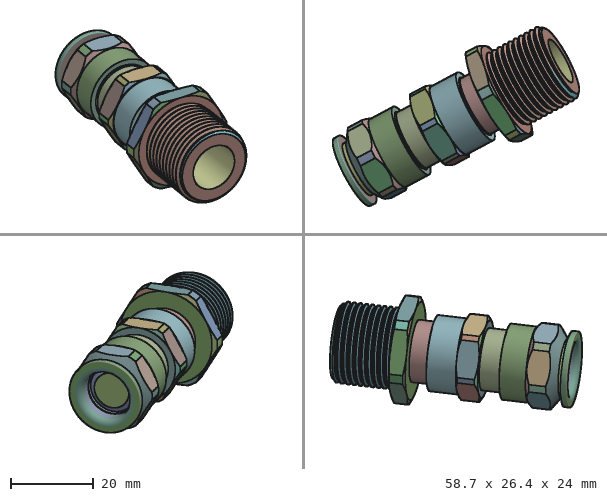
import cadquery as cq
import math


overall_length = 58.65
flange_end = 1.5
cap_start = 2.5
sleeve_end = 4.4
plug_start = 4.45
cap_hex_end = 10.15
cap_end = 16.65
middle_hex_start = 21.95
middle_hex_end = 27.4
middle_end = 34.7
entry_hex_start = 39.3
entry_hex_end = 43.4

barrel_diameter = 18.65
sleeve_diameter = 14.3
sleeve_bore = 12.2
sleeve_mouth = 15.5
ring_bore = 11.95
plug_diameter = 11.75
plug_face_diameter = 9.05
neck_diameter = 15.3
spigot_diameter = 15.85

small_hex_flats = 19.0
cap_hex_corners = 20.8
middle_hex_corners = 21.1
entry_hex_flats = 24.0
entry_hex_corners = 26.4
cap_cone_length = 2.4
cap_rear_chamfer = (cap_hex_corners - barrel_diameter) / 2
middle_hex_chamfer_length = 0.6
entry_hex_chamfer_length = 0.4

flange_rounding = 0.2
plug_chamfer_length = 0.95
cap_spigot_showing = 0.35
middle_spigot_showing = 0.25

thread_diameter = 20.0
thread_root_diameter = 18.35
thread_pitch = 1.5
thread_flank_angle = 30.0
thread_crest_width = thread_pitch / 8
thread_start = 41.2
thread_chamfer = 1.05
root_overlap = 0.1


def turned(outline):
    """Solid of revolution about X from (x, radius) points."""
    return cq.Workplane("XY").polyline(outline).close().revolve(360, (0, 0, 0), (1, 0, 0))


def cylinder(start, end, diameter):
    """Round bar along X."""
    return cq.Workplane("YZ").workplane(offset=start).circle(diameter / 2).extrude(end - start)


def hexagon(start, end, across_flats):
    """Hexagonal bar along X with flats facing +Z and -Z."""
    across_corners = across_flats / math.cos(math.radians(30))
    return cq.Workplane("YZ").workplane(offset=start).polygon(6, across_corners).extrude(end - start)


def chamfered_hexagon(start, end, across_flats, corner_diameter, chamfer_length):
    """Hexagon with turned corners and a chamfer at both ends that starts at the flats."""
    face_radius = across_flats / 2
    corner_radius = corner_diameter / 2
    envelope = turned([
        (start, 0),
        (start, face_radius),
        (start + chamfer_length, corner_radius),
        (end - chamfer_length, corner_radius),
        (end, face_radius),
        (end, 0),
    ])
    return hexagon(start, end, across_flats).intersect(envelope)


def spigot_and_neck(start, nut_end, showing, neck_end):
    """Spigot whose last stretch tapers down to the neck just behind the nut that covers it."""
    return turned([
        (start, 0),
        (start, spigot_diameter / 2),
        (nut_end, spigot_diameter / 2),
        (nut_end + showing, neck_diameter / 2),
        (neck_end, neck_diameter / 2),
        (neck_end, 0),
    ])


def make_sleeve():
    """Flanged sleeve with a rounded mouth."""
    flange = cylinder(0, flange_end, barrel_diameter).edges().fillet(flange_rounding)
    neck = cylinder(flange_end / 2, sleeve_end, sleeve_diameter)
    mouth_radius = (sleeve_mouth - sleeve_bore) / 2
    bore = (
        cq.Workplane("XY")
        .lineTo(0, sleeve_mouth / 2)
        .radiusArc((mouth_radius, sleeve_bore / 2), -mouth_radius)
        .lineTo(sleeve_end, sleeve_bore / 2)
        .lineTo(sleeve_end, 0)
        .close()
        .revolve(360, (0, 0, 0), (1, 0, 0))
    )
    return flange.union(neck).cut(bore)


def make_cap_nut():
    """Cap nut: coned hexagon, round barrel, and a stepped bore."""
    corner_radius = cap_hex_corners / 2
    envelope = turned([
        (cap_start, 0),
        (cap_start, sleeve_diameter / 2),
        (cap_start + cap_cone_length, corner_radius),
        (cap_hex_end - cap_rear_chamfer, corner_radius),
        (cap_hex_end, barrel_diameter / 2),
        (cap_hex_end, 0),
    ])
    hex_part = hexagon(cap_start, cap_hex_end, small_hex_flats).intersect(envelope)
    barrel = cylinder(cap_hex_end, cap_end, barrel_diameter)
    ring_seat = cylinder(cap_start, cap_hex_end, sleeve_diameter)
    spigot_bore = cylinder(cap_hex_end, cap_end, spigot_diameter)
    return hex_part.union(barrel).cut(ring_seat).cut(spigot_bore)


def make_sealing_ring():
    """Ring between the sleeve and the middle body."""
    ring = cylinder(sleeve_end, cap_hex_end, sleeve_diameter)
    return ring.cut(cylinder(sleeve_end, cap_hex_end, ring_bore))


def make_plug():
    """Round plug with a chamfered front, ending level with the cap nut."""
    return turned([
        (plug_start, 0),
        (plug_start, plug_face_diameter / 2),
        (plug_start + plug_chamfer_length, plug_diameter / 2),
        (cap_end, plug_diameter / 2),
        (cap_end, 0),
    ])


def make_middle_body():
    """Middle body: spigot, neck, hexagon and a barrel that takes the entry spigot."""
    front = spigot_and_neck(cap_hex_end, cap_end, cap_spigot_showing, middle_hex_start)
    hex_part = chamfered_hexagon(
        middle_hex_start, middle_hex_end, small_hex_flats, middle_hex_corners, middle_hex_chamfer_length
    )
    barrel = cylinder(middle_hex_end, middle_end, barrel_diameter)
    through_bore = cylinder(cap_hex_end, middle_end, plug_diameter)
    spigot_bore = cylinder(middle_hex_end, middle_end, spigot_diameter)
    return front.union(hex_part).union(barrel).cut(through_bore).cut(spigot_bore)


def make_thread_ridge():
    """Helical ridge, long enough to run out past the free end."""
    core_radius = thread_root_diameter / 2
    crest_radius = thread_diameter / 2
    base_radius = core_radius - root_overlap
    half_crest = thread_crest_width / 2
    half_base = half_crest + (crest_radius - base_radius) * math.tan(math.radians(thread_flank_angle))
    helix = cq.Wire.makeHelix(thread_pitch, overall_length + thread_pitch - thread_start, core_radius)
    ridge = (
        cq.Workplane("XZ")
        .polyline([
            (base_radius, -half_base),
            (crest_radius, -half_crest),
            (crest_radius, half_crest),
            (base_radius, half_base),
        ])
        .close()
        .sweep(helix, isFrenet=True)
    )
    return ridge.rotate((0, 0, 0), (0, 1, 0), 90).translate((thread_start, 0, 0))


def make_entry_body():
    """Entry body: spigot, neck, large hexagon and the male thread."""
    front = spigot_and_neck(middle_hex_end, middle_end, middle_spigot_showing, entry_hex_start)
    hex_part = chamfered_hexagon(
        entry_hex_start, entry_hex_end, entry_hex_flats, entry_hex_corners, entry_hex_chamfer_length
    )
    thread_envelope = cylinder(entry_hex_start, overall_length, thread_diameter + 2 * root_overlap)
    thread_envelope = thread_envelope.faces(">X").chamfer(thread_chamfer + root_overlap)
    thread_core = cylinder(entry_hex_start, overall_length, thread_root_diameter).intersect(thread_envelope)
    thread_ridge = make_thread_ridge().intersect(thread_envelope)
    thread = thread_core.union(thread_ridge)
    bore = cylinder(middle_hex_end, overall_length, plug_diameter)
    return front.union(hex_part).cut(bore).union(thread.cut(bore))


sleeve = make_sleeve()
cap_nut = make_cap_nut()
sealing_ring = make_sealing_ring()
plug = make_plug()
middle_body = make_middle_body()
entry_body = make_entry_body()

result = cq.Compound.makeCompound([
    sleeve.val(),
    cap_nut.val(),
    sealing_ring.val(),
    plug.val(),
    middle_body.val(),
    entry_body.val(),
])